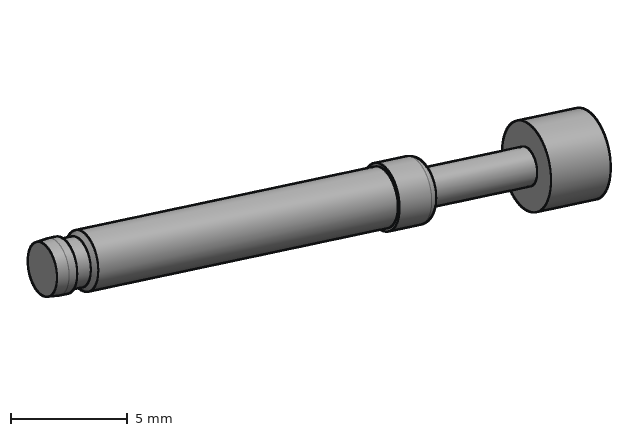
import cadquery as cq

total_length = 27.3

head_diameter = 4.0
head_length = 3.0
rod_diameter = 1.75
rod_length = 5.27

collar_diameter = 3.0
collar_length = 2.02
collar_round = 0.4

barrel_diameter = 2.7
barrel_chamfer = 0.232

groove_diameter = barrel_diameter - 2 * barrel_chamfer
groove_length = 0.76
flange_diameter = 2.5
flange_straight_length = 0.4
taper_length = 0.57
tail_end_diameter = 2.4

flange_length = flange_straight_length + taper_length
barrel_start = flange_length + groove_length
head_start = total_length - head_length
collar_front = head_start - rod_length
collar_back = collar_front - collar_length


def cylinder(diameter, start, end):
    """Round bar along +Y between two distances from the tail end."""
    plane = cq.Workplane("XZ", origin=(0, start - total_length / 2, 0))
    return plane.circle(diameter / 2).extrude(start - end)


head = cylinder(head_diameter, head_start, total_length)
rod = cylinder(rod_diameter, collar_front, head_start)
collar = cylinder(collar_diameter, collar_back, collar_front).faces(">Y").edges().fillet(collar_round)
barrel = cylinder(barrel_diameter, barrel_start, collar_back).faces("<Y").edges().chamfer(barrel_chamfer)
groove = cylinder(groove_diameter, flange_length, barrel_start)

flange_profile = [
    (0, 0),
    (tail_end_diameter / 2, 0),
    (flange_diameter / 2, taper_length),
    (flange_diameter / 2, flange_length),
    (0, flange_length),
]
flange = (
    cq.Workplane("XY", origin=(0, -total_length / 2, 0))
    .polyline(flange_profile)
    .close()
    .revolve(360, (0, 0, 0), (0, 1, 0))
)

result = head.union(rod).union(collar).union(barrel).union(groove).union(flange)